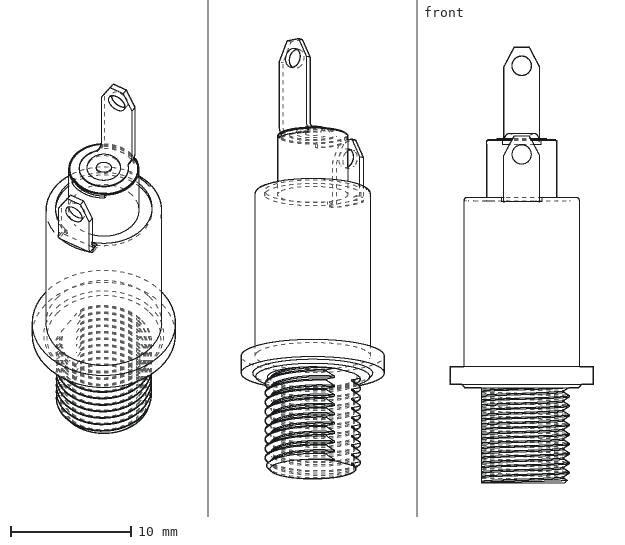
import cadquery as cq
import math


INCH = 25.4
thread_pitch = INCH / 32
thread_radius = INCH * 5 / 16 / 2
core_radius = 3.52
crest_width = thread_pitch / 8
root_width = 0.675
first_crest_height = 0.87
nose_flat_x = -3.35
nose_end_radius = 3.57
thread_overlap = 0.05

nose_height = 7.93
lip_height = 0.29
lip_radius = 5.0
lip_chamfer = 0.25
flange_radius = 11.94 / 2
flange_thickness = 1.47
barrel_radius = 4.82
barrel_top = 23.8
rim_fillet = 0.3
recess_radius = 4.02
recess_depth = 0.3
recess_floor = barrel_top - recess_depth

insulator_radius = 2.93
insulator_top = 28.6
lip_edge_radius = 2.83
lip_edge_height = 0.08
side_recess_radius = 2.7
side_recess_width = 3.2
side_recess_depth = 0.42
side_recess_floor = insulator_top - side_recess_depth

total_height = 36.3
sheet = 0.5
bend_radius = 0.4
tab_width = 3.0
tab_tip_width = 1.27
tab_tip_length = 1.65
tab_hole_diameter = 1.6
tab_hole_drop = 1.55
center_plate_radius = 2.05
center_plate_rise = 0.1
center_plate_top = insulator_top + center_plate_rise
center_tab_inner_y = 2.04
outer_tab_inner_y = 4.24
outer_tab_top = 28.92
outer_slot_width = 3.4
outer_slot_depth = 0.35

rivet_outer_radius = 1.4
rivet_inner_radius = 0.64
rivet_height = 0.41


def disc(radius, bottom, top):
    """Solid cylinder on the part axis."""
    return cq.Workplane("XY").workplane(offset=bottom).circle(radius).extrude(top - bottom)


def ring(inner_radius, outer_radius, bottom, top):
    """Tube on the part axis."""
    return disc(outer_radius, bottom, top).cut(disc(inner_radius, bottom, top))


def block(width, y_start, y_end, bottom, top):
    """Box centred on X = 0."""
    plan = cq.Workplane("XY").workplane(offset=bottom).center(0, (y_start + y_end) / 2)
    return plan.rect(width, abs(y_end - y_start)).extrude(top - bottom)


def threaded_nose():
    """Core with a right-hand helical ridge, chamfered at the end and flattened on the -X side."""
    start_z = first_crest_height - 2 * thread_pitch
    helix_length = nose_height - start_z + thread_pitch
    flank_slope = (root_width - crest_width) / 2 / (thread_radius - core_radius)
    inner_radius = core_radius - thread_overlap
    inner_half_width = root_width / 2 + flank_slope * thread_overlap
    path = cq.Wire.makeHelix(thread_pitch, helix_length, core_radius, center=cq.Vector(0, 0, start_z))
    ridge = (
        cq.Workplane("XZ")
        .polyline([
            (inner_radius, start_z - inner_half_width),
            (thread_radius, start_z - crest_width / 2),
            (thread_radius, start_z + crest_width / 2),
            (inner_radius, start_z + inner_half_width),
        ])
        .close()
        .sweep(cq.Workplane(path), isFrenet=True)
    )
    envelope = (
        cq.Workplane("XY")
        .center(nose_flat_x + flange_radius, 0)
        .rect(2 * flange_radius, 2 * flange_radius)
        .extrude(nose_height)
    )
    chamfer_size = flange_radius - nose_end_radius
    envelope = envelope.intersect(disc(flange_radius, 0, nose_height).faces("<Z").chamfer(chamfer_size))
    core = disc(core_radius, 0, nose_height).intersect(envelope)
    return core.union(ridge.intersect(envelope))


def turned_body():
    """Tapered lip, flange and barrel, with a recess and a tab slot in the barrel top."""
    flange_bottom = nose_height + lip_height
    flange_top = flange_bottom + flange_thickness
    lip = (
        cq.Workplane("XY")
        .workplane(offset=nose_height)
        .circle(lip_radius - lip_chamfer)
        .extrude(lip_height, taper=-math.degrees(math.atan2(lip_chamfer, lip_height)))
    )
    flange = disc(flange_radius, flange_bottom, flange_top)
    barrel = disc(barrel_radius, flange_top, barrel_top).faces(">Z").edges().fillet(rim_fillet)
    barrel = barrel.cut(disc(recess_radius, recess_floor, barrel_top))
    slot_start = bend_radius - outer_tab_inner_y
    slot_floor = barrel_top - outer_slot_depth
    barrel = barrel.cut(block(outer_slot_width, slot_start, -barrel_radius, slot_floor, barrel_top))
    return lip.union(flange).union(barrel)


def insulator():
    """Post with a stepped top edge and a shallow undercut on its +Y and -Y sides."""
    step_floor = insulator_top - lip_edge_height
    post = disc(insulator_radius, recess_floor, insulator_top)
    post = post.cut(ring(lip_edge_radius, barrel_radius, step_floor, insulator_top))
    undercut = ring(side_recess_radius, barrel_radius, side_recess_floor, step_floor)
    sides = block(side_recess_width, -barrel_radius, barrel_radius, side_recess_floor, step_floor)
    return post.cut(undercut.intersect(sides))


def solder_tab(inner_y, plate_top, tab_top):
    """Sheet strip that runs out from the axis, bends upward and ends in a pierced, tapered tip.

    The tab stands on the +Y side with its inner face at inner_y.
    """
    outer_y = inner_y + sheet
    bend_y = inner_y - bend_radius
    bend_z = plate_top + bend_radius
    diagonal = math.sqrt(0.5)
    outer_bend_radius = bend_radius + sheet
    strip = (
        cq.Workplane("YZ")
        .moveTo(0, plate_top)
        .lineTo(bend_y, plate_top)
        .threePointArc((bend_y + bend_radius * diagonal, bend_z - bend_radius * diagonal), (inner_y, bend_z))
        .lineTo(inner_y, tab_top)
        .lineTo(outer_y, tab_top)
        .lineTo(outer_y, bend_z)
        .threePointArc(
            (bend_y + outer_bend_radius * diagonal, bend_z - outer_bend_radius * diagonal),
            (bend_y, plate_top - sheet),
        )
        .lineTo(0, plate_top - sheet)
        .close()
        .extrude(tab_width / 2, both=True)
    )
    shoulder = tab_top - tab_tip_length
    outline = (
        cq.Workplane("XZ")
        .polyline([
            (-tab_width / 2, plate_top - sheet),
            (tab_width / 2, plate_top - sheet),
            (tab_width / 2, shoulder),
            (tab_tip_width / 2, tab_top),
            (-tab_tip_width / 2, tab_top),
            (-tab_width / 2, shoulder),
        ])
        .close()
        .extrude(-outer_y)
    )
    hole = (
        cq.Workplane("XZ")
        .center(0, tab_top - tab_hole_drop)
        .circle(tab_hole_diameter / 2)
        .extrude(-outer_y)
    )
    return strip.intersect(outline).cut(hole)


def center_contact():
    """Round plate on the insulator with the long tab on the +Y side."""
    plate = disc(center_plate_radius, center_plate_top - sheet, center_plate_top)
    return plate.union(solder_tab(center_tab_inner_y, center_plate_top, total_height))


def outer_contact():
    """Short tab on the -Y side, rising from the recess floor."""
    tab = solder_tab(outer_tab_inner_y, recess_floor, outer_tab_top)
    return tab.rotate((0, 0, 0), (0, 0, 1), 180)


def rivet_head():
    """Rolled ring with a domed section, seated on the center plate."""
    middle_radius = (rivet_inner_radius + rivet_outer_radius) / 2
    return (
        cq.Workplane("XZ")
        .moveTo(rivet_inner_radius, center_plate_top - sheet / 2)
        .lineTo(rivet_inner_radius, center_plate_top)
        .threePointArc((middle_radius, center_plate_top + rivet_height), (rivet_outer_radius, center_plate_top))
        .lineTo(rivet_outer_radius, center_plate_top - sheet / 2)
        .close()
        .revolve(360, (0, 0), (0, 1))
    )


result = (
    turned_body()
    .union(insulator())
    .union(center_contact())
    .union(outer_contact())
    .union(rivet_head())
    .union(threaded_nose())
)